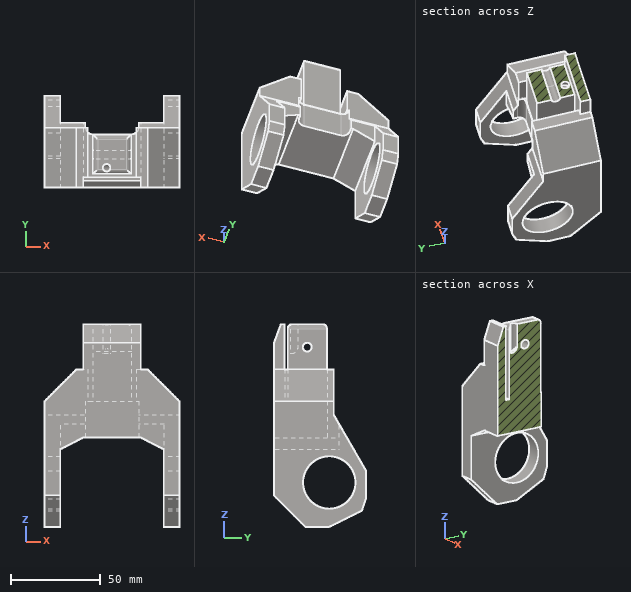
import cadquery as cq
import math

width = 75.25
depth = 51.2
height = 112.86

body_depth = 33.3
shoulder_z = 87.6
shoulder_chamfer = 17.75
arm_thickness = 9.0
arm_bore_radius = 14.5
arm_bore_y = 30.75
arm_bore_z = 24.8
toe_chamfer = 17.6
toe_end_y = 30.6
heel_y = 48.9
heel_z = 9.1
arm_back_low_z = 15.8
arm_back_high_z = 31.4
arm_back_slope = 60.0

opening_top_z = 49.7
opening_top_width = 32.0
opening_side_z = 43.2

bridge_depth = 36.1
rear_pocket_width = 29.5
rear_pocket_corner = 4.0
rear_pocket_floor_y = 29.7
slot_width = 26.7

tongue_width = 32.2
tongue_thickness = 5.9
tongue_bevel_height = 10.4
tongue_bevel_depth = 3.8

block_width = 21.2
block_front_y = 7.6
block_back_y = 29.5
block_fillet = 2.6
cross_hole_diameter = 4.8
cross_hole_y = 18.5
cross_hole_z = 100.0
top_hole_diameter = 4.2
top_hole_x = -3.0
top_hole_y = 11.05
top_hole_floor_radius = 3.4

half_width = width / 2
arm_inner_x = half_width - arm_thickness
chamfer_low_z = shoulder_z - shoulder_chamfer
body_back_low_z = arm_back_high_z + (depth - body_depth) * math.tan(math.radians(arm_back_slope))
recess_floor_z = chamfer_low_z


def centred_box(size_x, y_min, y_max, z_min, z_max):
    """Box symmetric about X = 0 between the given Y and Z limits."""
    base = cq.Workplane("XY", origin=(0, y_min, z_min))
    return base.box(size_x, y_max - y_min, z_max - z_min, centered=(True, False, False))


def extrude_across(outline_yz, size_x):
    """Extrude a closed Y-Z outline symmetrically about X = 0."""
    return cq.Workplane("YZ").polyline(outline_yz).close().extrude(size_x / 2, both=True)


def x_cylinder(radius, y, z, length):
    """Cylinder along X, centred on X = 0."""
    return cq.Workplane("YZ").center(y, z).circle(radius).extrude(length / 2, both=True)


def make_fork():
    """Solid fork body, bounded by its side and front outlines, with the bores through both arms."""
    side_outline = [
        (0, toe_chamfer),
        (toe_chamfer, 0),
        (toe_end_y, 0),
        (heel_y, heel_z),
        (depth, arm_back_low_z),
        (depth, arm_back_high_z),
        (body_depth, body_back_low_z),
        (body_depth, shoulder_z),
        (0, shoulder_z),
    ]
    fork = extrude_across(side_outline, width)
    front_outline = [
        (-half_width, 0),
        (half_width, 0),
        (half_width, chamfer_low_z),
        (half_width - shoulder_chamfer, shoulder_z),
        (-half_width + shoulder_chamfer, shoulder_z),
        (-half_width, chamfer_low_z),
    ]
    fork = fork.intersect(cq.Workplane("XZ").polyline(front_outline).close().extrude(-depth))
    return fork.cut(x_cylinder(arm_bore_radius, arm_bore_y, arm_bore_z, width))


def make_arm_opening():
    """Stepped gap between the arms, with the space behind the bridge left clear."""
    outline = [
        (-arm_inner_x, 0),
        (-arm_inner_x, opening_side_z),
        (-opening_top_width / 2, opening_top_z),
        (opening_top_width / 2, opening_top_z),
        (arm_inner_x, opening_side_z),
        (arm_inner_x, 0),
    ]
    gap = cq.Workplane("XZ").polyline(outline).close().extrude(-depth)
    return gap.union(centred_box(2 * arm_inner_x, bridge_depth, depth, 0, shoulder_z))


def make_recesses():
    """Rear pocket with rounded corners, and the slot above it that surrounds the block."""
    pocket = centred_box(rear_pocket_width, rear_pocket_floor_y, depth, 0, recess_floor_z)
    pocket = pocket.edges("|Z and <Y").fillet(rear_pocket_corner)
    slot = centred_box(slot_width, tongue_thickness, depth, recess_floor_z, shoulder_z)
    return pocket.union(slot)


def make_tongue():
    """Plate at the front, bevelled towards its top edge."""
    outline = [
        (0, recess_floor_z),
        (tongue_thickness, recess_floor_z),
        (tongue_thickness, height),
        (tongue_bevel_depth, height),
        (0, height - tongue_bevel_height),
    ]
    return extrude_across(outline, tongue_width)


def make_top_hole():
    """Vertical hole whose floor is a trough rounded about an X axis level with the cross hole."""
    trough_z = cross_hole_z
    trough_y = top_hole_y + top_hole_diameter / 2 - top_hole_floor_radius
    shaft_bottom_z = trough_z - top_hole_floor_radius
    shaft = cq.Workplane("XY").workplane(offset=shaft_bottom_z).center(top_hole_x, top_hole_y)
    shaft = shaft.circle(top_hole_diameter / 2).extrude(height - shaft_bottom_z)
    trough = x_cylinder(top_hole_floor_radius, trough_y, trough_z, block_width)
    open_above = centred_box(block_width, block_front_y, block_back_y, trough_z, height)
    return shaft.intersect(trough.union(open_above))


def make_block():
    """Upright block with rounded top edges and its two holes."""
    block = centred_box(block_width, block_front_y, block_back_y, recess_floor_z, height)
    block = block.faces(">Z").edges().fillet(block_fillet)
    block = block.cut(x_cylinder(cross_hole_diameter / 2, cross_hole_y, cross_hole_z, block_width))
    return block.cut(make_top_hole())


body = make_fork().cut(make_arm_opening()).cut(make_recesses())
result = body.union(make_tongue()).union(make_block())